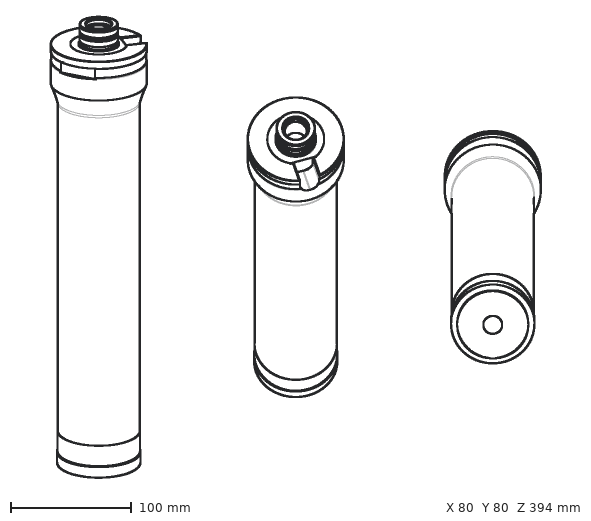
import cadquery as cq
import math

TOTAL_HEIGHT = 394.0
COLLAR_TOP = 376.0

BUTTON_DIAMETER = 15.8
BUTTON_HEIGHT = 0.5
FOOT_PLATE_DIAMETER = 59.0
FOOT_PLATE_TOP = 2.5
PLUG_DIAMETER = 69.5
PLUG_TOP = 12.0
PLUG_CHAMFER_HEIGHT = 0.8

SLEEVE_DIAMETER = 68.5
SLEEVE_TOP = 30.7
TUBE_DIAMETER = 68.0
TUBE_TOP = 323.5

FLARE_FOOT_DIAMETER = 69.5
FLARE_FOOT = 326.0
FLARE_MIDDLE_DIAMETER = 74.0
FLARE_TOP = 341.2
FLARE_MIDDLE = (FLARE_FOOT + FLARE_TOP) / 2

COLLAR_DIAMETER = 80.0
COLLAR_CHAMFER = 0.5
GROOVE_DIAMETER = 79.0
GROOVE_FOOT = 360.0
GROOVE_CHAMFER_HEIGHT = 1.0
GROOVE_TOP = 369.5
GROOVE_LIP_DEPTH = (COLLAR_DIAMETER - GROOVE_DIAMETER) / 2
FLAT_DISTANCE = 36.2
FLAT_ANGLE = -45.0

FLANGE_DIAMETER = 47.3
FLANGE_FLAT_DISTANCE = 21.0

SLOT_MOUTH_WIDTH = 18.0
SLOT_CHAMFER = 0.8
SLOT_WIDTH = SLOT_MOUTH_WIDTH - 2 * SLOT_CHAMFER
SLOT_STRAIGHT_DEPTH = 10.2
SLOT_CORNER_RADIUS = 8.0
SLOT_CORNER_CENTER = COLLAR_TOP - SLOT_STRAIGHT_DEPTH
FLANGE_FOOT = SLOT_CORNER_CENTER - SLOT_CORNER_RADIUS

NOSE_ROOT_DIAMETER = 34.0
NOSE_ROOT_TOP = 377.0
NOSE_NECK_DIAMETER = 32.0
NOSE_NECK_TOP = 379.5
NOSE_BAND_DIAMETER = 32.5
NOSE_BAND_TOP = 384.0
NOSE_GROOVE_DIAMETER = 31.5
NOSE_GROOVE_FOOT = 385.5
NOSE_GROOVE_TOP = 386.5
NOSE_RIM_DIAMETER = 32.5
NOSE_RIM_FOOT = 387.5
NOSE_TIP_DIAMETER = 31.0
NOSE_TIP_FOOT = 392.5

COUNTERBORE_DIAMETER = 21.0
COUNTERBORE_DEPTH = 4.0
LEDGE_DEPTH = 1.0
COUNTERBORE_CHAMFER = 0.8
HOLE_DIAMETER = 18.0
HOLE_DEPTH = 23.5
DRILL_POINT_ANGLE = 140.0


def cylinder(diameter, bottom, top):
    """A cylinder on the Z axis between two heights."""
    return cq.Workplane("XY").workplane(offset=bottom).circle(diameter / 2).extrude(top - bottom)


def flange_body():
    """The connector flange: a disc with one flat facing +Y."""
    disc = cylinder(FLANGE_DIAMETER, FLANGE_FOOT, COLLAR_TOP)
    beyond_flat = (
        cq.Workplane("XY")
        .workplane(offset=FLANGE_FOOT)
        .center(0, FLANGE_FLAT_DISTANCE + FLANGE_DIAMETER / 2)
        .rect(FLANGE_DIAMETER, FLANGE_DIAMETER)
        .extrude(COLLAR_TOP - FLANGE_FOOT)
    )
    return disc.cut(beyond_flat)


def housing_turning():
    """The turned shape of the housing, without recess, slot or flat."""
    return (
        cq.Workplane("XZ")
        .moveTo(0, 0)
        .lineTo(BUTTON_DIAMETER / 2, 0)
        .lineTo(BUTTON_DIAMETER / 2, BUTTON_HEIGHT)
        .lineTo(FOOT_PLATE_DIAMETER / 2, BUTTON_HEIGHT)
        .lineTo(FOOT_PLATE_DIAMETER / 2, FOOT_PLATE_TOP)
        .lineTo(PLUG_DIAMETER / 2, FOOT_PLATE_TOP)
        .lineTo(PLUG_DIAMETER / 2, PLUG_TOP)
        .lineTo(SLEEVE_DIAMETER / 2, PLUG_TOP + PLUG_CHAMFER_HEIGHT)
        .lineTo(SLEEVE_DIAMETER / 2, SLEEVE_TOP)
        .lineTo(TUBE_DIAMETER / 2, SLEEVE_TOP)
        .lineTo(TUBE_DIAMETER / 2, TUBE_TOP)
        .lineTo(FLARE_FOOT_DIAMETER / 2, FLARE_FOOT)
        .threePointArc((FLARE_MIDDLE_DIAMETER / 2, FLARE_MIDDLE), (COLLAR_DIAMETER / 2, FLARE_TOP))
        .lineTo(COLLAR_DIAMETER / 2, GROOVE_FOOT)
        .lineTo(GROOVE_DIAMETER / 2, GROOVE_FOOT + GROOVE_CHAMFER_HEIGHT)
        .lineTo(GROOVE_DIAMETER / 2, GROOVE_TOP - GROOVE_LIP_DEPTH)
        .lineTo(COLLAR_DIAMETER / 2, GROOVE_TOP)
        .lineTo(COLLAR_DIAMETER / 2, COLLAR_TOP - COLLAR_CHAMFER)
        .lineTo(COLLAR_DIAMETER / 2 - COLLAR_CHAMFER, COLLAR_TOP)
        .lineTo(0, COLLAR_TOP)
        .close()
        .revolve(360, (0, 0, 0), (0, 1, 0))
    )


def slot_cutter():
    """The round-cornered slot, from the flange flat out through the +Y side of the collar."""
    half_mouth = SLOT_MOUTH_WIDTH / 2
    half_width = SLOT_WIDTH / 2
    half_floor = half_width - SLOT_CORNER_RADIUS
    return (
        cq.Workplane("XZ", origin=(0, FLANGE_FLAT_DISTANCE, 0))
        .moveTo(-half_mouth, COLLAR_TOP)
        .lineTo(-half_width, COLLAR_TOP - SLOT_CHAMFER)
        .lineTo(-half_width, SLOT_CORNER_CENTER)
        .radiusArc((-half_floor, FLANGE_FOOT), -SLOT_CORNER_RADIUS)
        .lineTo(half_floor, FLANGE_FOOT)
        .radiusArc((half_width, SLOT_CORNER_CENTER), -SLOT_CORNER_RADIUS)
        .lineTo(half_width, COLLAR_TOP - SLOT_CHAMFER)
        .lineTo(half_mouth, COLLAR_TOP)
        .close()
        .extrude(-COLLAR_DIAMETER / 2)
    )


def groove_flat_cutter():
    """The material outside the flat, within the height of the groove."""
    depth = COLLAR_DIAMETER / 2
    return (
        cq.Workplane("XY")
        .workplane(offset=GROOVE_FOOT)
        .center(FLAT_DISTANCE + depth / 2, 0)
        .rect(depth, COLLAR_DIAMETER)
        .extrude(GROOVE_TOP - GROOVE_FOOT)
        .rotate((0, 0, 0), (0, 0, 1), FLAT_ANGLE)
    )


def make_housing():
    """The tube with its collar, hollowed for the connector flange."""
    return housing_turning().cut(flange_body()).cut(slot_cutter()).cut(groove_flat_cutter())


def nose_turning():
    """The turned nose of the connector, standing on the flange."""
    return (
        cq.Workplane("XZ")
        .moveTo(0, COLLAR_TOP)
        .lineTo(NOSE_ROOT_DIAMETER / 2, COLLAR_TOP)
        .lineTo(NOSE_NECK_DIAMETER / 2, NOSE_ROOT_TOP)
        .lineTo(NOSE_NECK_DIAMETER / 2, NOSE_NECK_TOP)
        .lineTo(NOSE_BAND_DIAMETER / 2, NOSE_NECK_TOP)
        .lineTo(NOSE_BAND_DIAMETER / 2, NOSE_BAND_TOP)
        .lineTo(NOSE_GROOVE_DIAMETER / 2, NOSE_GROOVE_FOOT)
        .lineTo(NOSE_GROOVE_DIAMETER / 2, NOSE_GROOVE_TOP)
        .lineTo(NOSE_RIM_DIAMETER / 2, NOSE_RIM_FOOT)
        .lineTo(NOSE_RIM_DIAMETER / 2, NOSE_TIP_FOOT)
        .lineTo(NOSE_TIP_DIAMETER / 2, TOTAL_HEIGHT)
        .lineTo(0, TOTAL_HEIGHT)
        .close()
        .revolve(360, (0, 0, 0), (0, 1, 0))
    )


def hole_cutter():
    """The counterbored blind hole with its conical drill point."""
    hole_foot = TOTAL_HEIGHT - HOLE_DEPTH
    ledge = TOTAL_HEIGHT - COUNTERBORE_DEPTH
    point_length = HOLE_DIAMETER / 2 / math.tan(math.radians(DRILL_POINT_ANGLE / 2))
    return (
        cq.Workplane("XZ")
        .moveTo(0, hole_foot - point_length)
        .lineTo(HOLE_DIAMETER / 2, hole_foot)
        .lineTo(HOLE_DIAMETER / 2, ledge - LEDGE_DEPTH)
        .lineTo(COUNTERBORE_DIAMETER / 2, ledge)
        .lineTo(COUNTERBORE_DIAMETER / 2, TOTAL_HEIGHT - COUNTERBORE_CHAMFER)
        .lineTo(COUNTERBORE_DIAMETER / 2 + COUNTERBORE_CHAMFER, TOTAL_HEIGHT)
        .lineTo(0, TOTAL_HEIGHT)
        .close()
        .revolve(360, (0, 0, 0), (0, 1, 0))
    )


def make_connector():
    """The connector: flange and nose in one piece, with the blind hole."""
    return flange_body().union(nose_turning()).cut(hole_cutter())


housing = make_housing()
connector = make_connector()

result = cq.Compound.makeCompound([housing.val(), connector.val()])